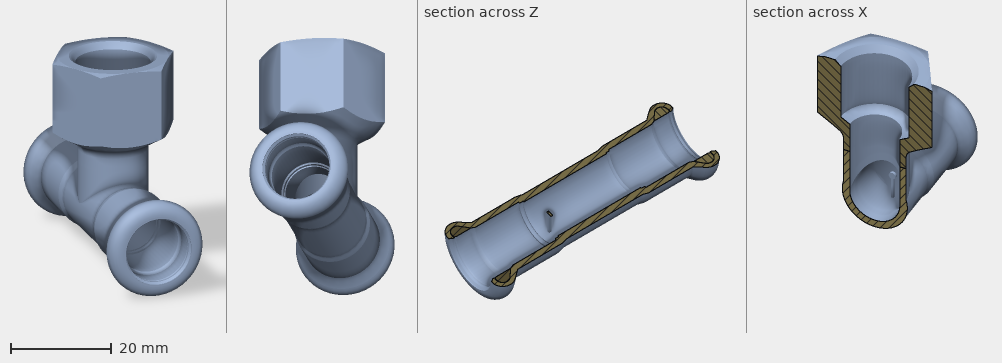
import cadquery as cq
import math


HALF_LENGTH = 28.0
RUN_RADIUS = 14.5 / 2
BORE_RADIUS = 11.0 / 2
BLEND_INNER_X = 9.25
SOCKET_START_X = 11.05
SOCKET_RADIUS = 15.3 / 2

BEAD_ARC_RADIUS = 2.6
BEAD_TOP_RADIUS = 9.9
BEAD_ARC_CENTER_R = BEAD_TOP_RADIUS - BEAD_ARC_RADIUS
BEAD_ARC_CENTER_X = HALF_LENGTH - BEAD_ARC_RADIUS
BEAD_CONE_START_X = 23.75
BEAD_CONE_END_X = 21.85

MOUTH_RADIUS = 13.8 / 2
THROAT_RADIUS = 13.0 / 2
SOCKET_BORE_RADIUS = 12.2 / 2
STEP_RADIUS = 11.5 / 2
SOCKET_CONE_START_X = 22.85
SOCKET_CONE_END_X = 21.95
SOCKET_BORE_END_X = 11.2
STEP_END_X = 10.35
MOUTH_CONE_START_X = 27.8
MOUTH_CONE_END_X = 27.3

SEAL_ARC_RADIUS = 1.4
SEAL_FRONT_X = BEAD_ARC_CENTER_X + SEAL_ARC_RADIUS
SEAL_CHAMFER_LENGTH = 0.45
SEAL_CHAMFER_DEPTH = 0.15
SEAL_BACK_ANGLE = math.radians(131)

STOP_HEAD_RADIUS = 0.755
STOP_STEM_WIDTH = 0.55
STOP_THICKNESS = 0.55
STOP_X = 7.85
STOP_ROOT_DEPTH = (BORE_RADIUS + RUN_RADIUS) / 2

NECK_RADIUS = 14.0 / 2
JOINT_Z = 9.95
FILLET_START_Z = 12.8
FILLET_END_Z = 14.45
HEX_TOP_Z = 32.0
HEX_CORNERS = 25.4
HEX_FLAT_RADIUS = HEX_CORNERS / 2 * math.cos(math.radians(30))
CONE_ANGLE = math.radians(30)
FLAT_BOTTOM_Z = 16.3
TOP_CORNER_DROP = 0.45
THREAD_RADIUS = 14.95 / 2
THREAD_MOUTH_RADIUS = 17.5 / 2
THREAD_BOTTOM_Z = 17.9
BOTTOM_CONE_ANGLE = math.radians(30)


def revolve_about_x(profile):
    return profile.close().revolve(360, (0, 0, 0), (1, 0, 0))


def revolve_about_z(profile):
    return profile.close().revolve(360, (0, 0, 0), (0, 1, 0))


def mirrored_pair(half):
    return [half, half.mirror("YZ")]


def run_end():
    """Outer shape of the +X socket: blend, socket wall and rounded bead."""
    cone_offset = BEAD_CONE_START_X - BEAD_ARC_CENTER_X
    cone_start_r = BEAD_ARC_CENTER_R + math.sqrt(BEAD_ARC_RADIUS**2 - cone_offset**2)
    profile = (
        cq.Workplane("XY")
        .moveTo(BLEND_INNER_X, 0)
        .lineTo(BLEND_INNER_X, RUN_RADIUS)
        .spline([(SOCKET_START_X, SOCKET_RADIUS)], tangents=[(1, 0), (1, 0)], includeCurrent=True)
        .lineTo(BEAD_CONE_END_X, SOCKET_RADIUS)
        .lineTo(BEAD_CONE_START_X, cone_start_r)
        .threePointArc((BEAD_ARC_CENTER_X, BEAD_TOP_RADIUS), (HALF_LENGTH, BEAD_ARC_CENTER_R))
        .lineTo(HALF_LENGTH, 0)
    )
    return revolve_about_x(profile)


def socket_hole():
    """Stepped and coned hole of the +X socket."""
    profile = (
        cq.Workplane("XY")
        .moveTo(STEP_END_X, 0)
        .lineTo(STEP_END_X, STEP_RADIUS)
        .lineTo(SOCKET_BORE_END_X, STEP_RADIUS)
        .lineTo(SOCKET_BORE_END_X, SOCKET_BORE_RADIUS)
        .lineTo(SOCKET_CONE_END_X, SOCKET_BORE_RADIUS)
        .lineTo(SOCKET_CONE_START_X, THROAT_RADIUS)
        .lineTo(MOUTH_CONE_END_X, THROAT_RADIUS)
        .lineTo(MOUTH_CONE_START_X, MOUTH_RADIUS)
        .lineTo(HALF_LENGTH, MOUTH_RADIUS)
        .lineTo(HALF_LENGTH, 0)
    )
    return revolve_about_x(profile)


def on_seal_crown(angle):
    return (
        BEAD_ARC_CENTER_X + SEAL_ARC_RADIUS * math.cos(angle),
        BEAD_ARC_CENTER_R + SEAL_ARC_RADIUS * math.sin(angle),
    )


def make_seal():
    """Seal ring in the +X bead: flat inside, round crown, sloped back."""
    profile = (
        cq.Workplane("XY")
        .moveTo(SOCKET_CONE_START_X, THROAT_RADIUS)
        .lineTo(SEAL_FRONT_X - SEAL_CHAMFER_LENGTH, THROAT_RADIUS)
        .lineTo(SEAL_FRONT_X, THROAT_RADIUS + SEAL_CHAMFER_DEPTH)
        .lineTo(SEAL_FRONT_X, BEAD_ARC_CENTER_R)
        .threePointArc(on_seal_crown(SEAL_BACK_ANGLE / 2), on_seal_crown(SEAL_BACK_ANGLE))
    )
    return revolve_about_x(profile)


def seal_edge_groove():
    """Clearance in the wall beside the chamfered front edge of the +X seal."""
    profile = (
        cq.Workplane("XY")
        .moveTo(SEAL_FRONT_X - SEAL_CHAMFER_LENGTH, THROAT_RADIUS)
        .lineTo(SEAL_FRONT_X, THROAT_RADIUS)
        .lineTo(SEAL_FRONT_X, THROAT_RADIUS + SEAL_CHAMFER_DEPTH)
    )
    return revolve_about_x(profile)


def make_stop():
    """Round head on the run axis with a stem down to the bore wall."""
    plane = cq.Workplane("YZ").workplane(offset=STOP_X)
    head = plane.circle(STOP_HEAD_RADIUS).extrude(STOP_THICKNESS)
    stem = (
        plane.center(0, -STOP_ROOT_DEPTH / 2)
        .rect(STOP_STEM_WIDTH, STOP_ROOT_DEPTH)
        .extrude(STOP_THICKNESS)
    )
    return head.union(stem)


def run_cylinder(radius, half_length):
    return cq.Workplane("YZ").circle(radius).extrude(half_length, both=True)


def make_tee(seals):
    tee = run_cylinder(RUN_RADIUS, BLEND_INNER_X)
    tee = tee.union(cq.Workplane("XY").circle(NECK_RADIUS).extrude(JOINT_Z))
    for socket in mirrored_pair(run_end()):
        tee = tee.union(socket)
    for hole in mirrored_pair(socket_hole()):
        tee = tee.cut(hole)
    tee = tee.cut(run_cylinder(BORE_RADIUS, STEP_END_X))
    tee = tee.cut(cq.Workplane("XY").circle(BORE_RADIUS).extrude(JOINT_Z))
    for seal in seals:
        tee = tee.cut(seal)
    for groove in mirrored_pair(seal_edge_groove()):
        tee = tee.cut(groove)
    return tee.union(make_stop())


def adapter_envelope():
    """Turned shape of the adapter: neck, fillet, conical underside, chamfered top."""
    corner_r = HEX_CORNERS / 2
    slope = math.tan(CONE_ANGLE)
    fillet_radius = (FILLET_END_Z - FILLET_START_Z) / math.cos(CONE_ANGLE)
    fillet_end_r = NECK_RADIUS + fillet_radius * (1 - math.sin(CONE_ANGLE))
    mid_angle = (math.pi / 2 - CONE_ANGLE) / 2
    fillet_mid = (
        NECK_RADIUS + fillet_radius * (1 - math.cos(mid_angle)),
        FILLET_START_Z + fillet_radius * math.sin(mid_angle),
    )
    corner_bottom_z = FLAT_BOTTOM_Z + (corner_r - HEX_FLAT_RADIUS) * slope
    profile = (
        cq.Workplane("XZ")
        .moveTo(0, JOINT_Z)
        .lineTo(NECK_RADIUS, JOINT_Z)
        .lineTo(NECK_RADIUS, FILLET_START_Z)
        .threePointArc(fillet_mid, (fillet_end_r, FILLET_END_Z))
        .lineTo(HEX_FLAT_RADIUS, FLAT_BOTTOM_Z)
        .lineTo(corner_r, corner_bottom_z)
        .lineTo(corner_r, HEX_TOP_Z - TOP_CORNER_DROP)
        .lineTo(HEX_FLAT_RADIUS, HEX_TOP_Z)
        .lineTo(0, HEX_TOP_Z)
    )
    return revolve_about_z(profile)


def adapter_bore():
    """Threaded-size hole with 45 degree mouth and conical bottom, then the through bore."""
    bottom_cone_depth = (THREAD_RADIUS - BORE_RADIUS) * math.tan(BOTTOM_CONE_ANGLE)
    profile = (
        cq.Workplane("XZ")
        .moveTo(0, JOINT_Z)
        .lineTo(BORE_RADIUS, JOINT_Z)
        .lineTo(BORE_RADIUS, THREAD_BOTTOM_Z - bottom_cone_depth)
        .lineTo(THREAD_RADIUS, THREAD_BOTTOM_Z)
        .lineTo(THREAD_RADIUS, HEX_TOP_Z - (THREAD_MOUTH_RADIUS - THREAD_RADIUS))
        .lineTo(THREAD_MOUTH_RADIUS, HEX_TOP_Z)
        .lineTo(0, HEX_TOP_Z)
    )
    return revolve_about_z(profile)


def make_adapter():
    hexagon = (
        cq.Workplane("XY")
        .workplane(offset=JOINT_Z)
        .transformed(rotate=(0, 0, 90))
        .polygon(6, HEX_CORNERS)
        .extrude(HEX_TOP_Z - JOINT_Z)
    )
    return hexagon.intersect(adapter_envelope()).cut(adapter_bore())


seals = mirrored_pair(make_seal())
tee = make_tee(seals)
adapter = make_adapter()

result = cq.Compound.makeCompound([tee.val(), adapter.val(), *[seal.val() for seal in seals]])